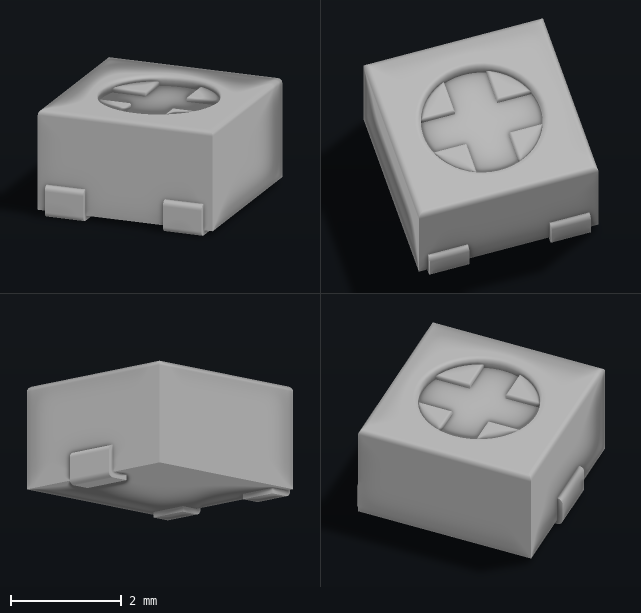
import cadquery as cq

overall_length = 3.6
sheet = 0.1
housing_side = overall_length - 2 * sheet
housing_top = 2.0
edge_round = 0.1

rotor_radius = 1.1
rotor_height = 0.4
rotor_center_y = -0.05
rotor_drop = 0.1
slot_depth = 0.1
slot_width_x = 0.8
slot_width_y = 0.702
pad_round = 0.05

terminal_height = 0.6
foot_length = 0.45
bend_radius = sheet
front_terminal_width = 0.75
front_terminal_offset = 1.15
rear_terminal_width = 1.0

rotor_top = housing_top - rotor_drop
rotor_bottom = rotor_top - rotor_height


def make_housing():
    """Block with rounded top edges and a blind, round-rimmed bore for the rotor."""
    block = (
        cq.Workplane("XY")
        .workplane(offset=sheet)
        .rect(housing_side, housing_side)
        .extrude(housing_top - sheet)
    )
    bore = (
        cq.Workplane("XY", origin=(0, rotor_center_y, rotor_bottom))
        .circle(rotor_radius)
        .extrude(housing_top - rotor_bottom)
    )
    return block.cut(bore).faces(">Z").edges().fillet(edge_round)


def make_rotor():
    """Disc with a cross recess that leaves four raised, round-edged pads."""
    disc = (
        cq.Workplane("XY", origin=(0, rotor_center_y, rotor_bottom))
        .circle(rotor_radius)
        .extrude(rotor_height)
    )
    slot_floor = cq.Workplane("XY", origin=(0, rotor_center_y, rotor_top - slot_depth))
    arm_along_y = slot_floor.rect(slot_width_x, 2 * rotor_radius).extrude(slot_depth)
    arm_along_x = slot_floor.rect(2 * rotor_radius, slot_width_y).extrude(slot_depth)
    slotted = disc.cut(arm_along_y).cut(arm_along_x)
    return slotted.faces(">Z").edges().fillet(pad_round)


def make_terminal(width, center_x):
    """L-shaped strip on the -Y side, its foot reaching under the housing."""
    outer_y = -overall_length / 2
    inner_y = outer_y + sheet
    foot_end_y = outer_y + foot_length
    profile = (
        cq.Workplane("YZ", origin=(center_x, 0, 0))
        .moveTo(foot_end_y, 0)
        .lineTo(outer_y + bend_radius, 0)
        .radiusArc((outer_y, bend_radius), bend_radius)
        .lineTo(outer_y, terminal_height - bend_radius)
        .radiusArc((inner_y, terminal_height), bend_radius)
        .lineTo(inner_y, sheet)
        .lineTo(foot_end_y, sheet)
        .close()
    )
    return profile.extrude(width / 2, both=True)


housing = make_housing()
rotor = make_rotor()
front_terminals = [
    make_terminal(front_terminal_width, side * front_terminal_offset) for side in (-1, 1)
]
rear_terminal = make_terminal(rear_terminal_width, 0).rotate((0, 0, 0), (0, 0, 1), 180)

result = cq.Compound.makeCompound(
    [
        housing.val(),
        rotor.val(),
        *[terminal.val() for terminal in front_terminals],
        rear_terminal.val(),
    ]
)